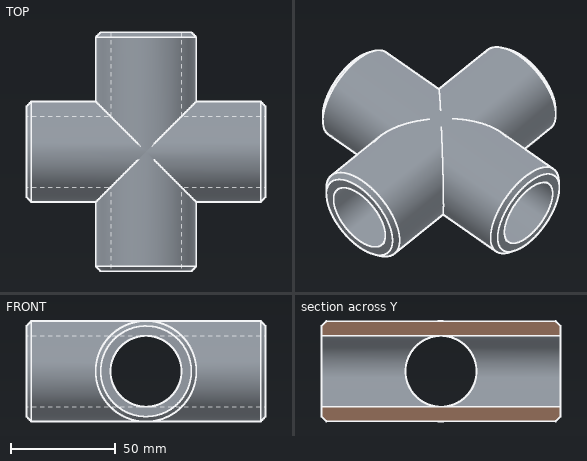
import cadquery as cq

length = 114.0
outer_diameter = 48.0
bore_diameter = 33.7
end_chamfer = 2.4

tube_planes = ("YZ", "XZ")


def cylinder_along(plane, diameter):
    """Cylinder of the full tube length, centred on the origin along the plane normal."""
    return cq.Workplane(plane).circle(diameter / 2).extrude(length / 2, both=True)


def tube_body(plane):
    """Solid tube blank with both outer rims chamfered."""
    return cylinder_along(plane, outer_diameter).edges("%CIRCLE").chamfer(end_chamfer)


result = cq.Workplane("XY")
for tube_plane in tube_planes:
    result = result.add(tube_body(tube_plane))
result = result.combine()
for tube_plane in tube_planes:
    result = result.cut(cylinder_along(tube_plane, bore_diameter))